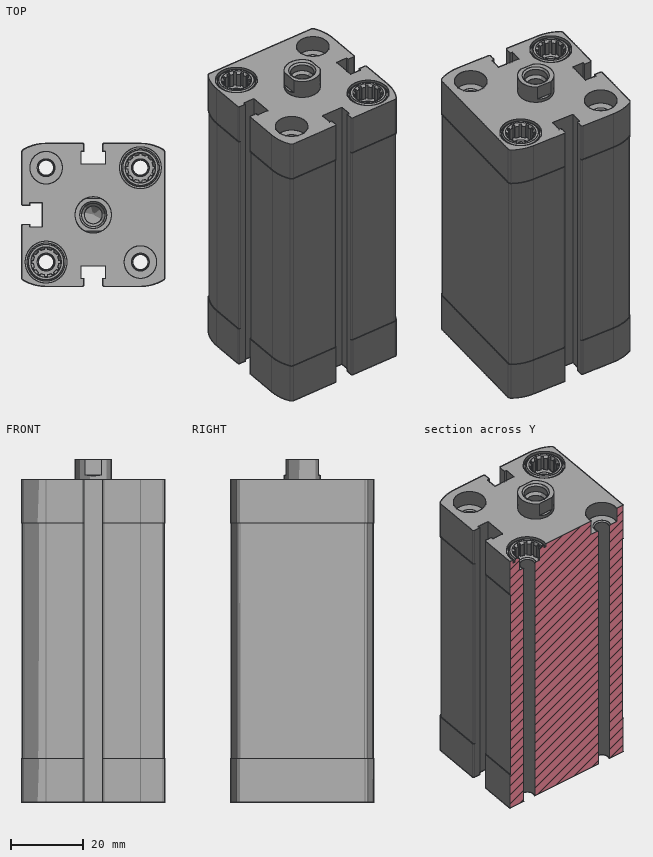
import cadquery as cq
import math

SIDE = 39.5
TOTAL_HEIGHT = 94.5
ROD_PROJECTION = 5.5
CAP_HEIGHT = 12.1
BARREL_INSET = 0.2
HOUSING_HEIGHT = TOTAL_HEIGHT - ROD_PROJECTION
BARREL_HEIGHT = HOUSING_HEIGHT - 2 * CAP_HEIGHT

CORNER_RADIUS = 25.0 / 2
CORNER_EDGE_FILLET = 0.9

SLOT_MOUTH_WIDTH = 5.2
SLOT_WIDTH = 6.6
SLOT_LIP = 2.3
SLOT_DEPTH = 5.7
SLOT_LIP_FILLET = 0.4

HOLE_SPACING = 26.0
HOLE_OFFSET = HOLE_SPACING / 2
THROUGH_DIAMETER = 4.2
COUNTERSINK_DIAMETER = 4.9
COUNTERBORE_DIAMETER = 9.0
COUNTERBORE_DEPTH = 4.7

GROOVE_DIAMETER = 11.5
GROOVE_DEPTH = 1.0
COLLAR_DIAMETER = 10.5
COLLAR_CHAMFER = 0.4
SOCKET_DIAMETER = 7.0
SOCKET_MOUTH_DIAMETER = 8.4
TOOTH_COUNT = 12
TOOTH_GAP_DIAMETER = 7.8
TOOTH_GAP_WIDTH = 0.8

ROD_DIAMETER = 10.0
ROD_INSERTION = CAP_HEIGHT
ROD_FLATS = 9.0
FLAT_LENGTH = 4.25
FLAT_RAMP_HEIGHT = 0.3
ROD_BORE_DIAMETER = 6.4
ROD_BORE_MOUTH_DIAMETER = 7.5
ROD_BORE_DEPTH = 2.5
ROD_DRILL_DIAMETER = 4.9
ROD_DRILL_DEPTH = 8.5
DRILL_TIP_ANGLE = 118.0


def turned(profile):
    """Solid of revolution about Z from a closed outline of (radius, z) points."""
    return cq.Workplane("XZ").polyline(profile).close().revolve(360, (0, 0), (0, 1))


def outline_prism(inset, bottom, height):
    """Square block with broad corner arcs that start level with the hole axes, tangent to front or back."""
    half = SIDE / 2 - inset
    radius = CORNER_RADIUS - inset
    arc_x = HOLE_OFFSET
    arc_y = half - radius

    def on_arc(x):
        return arc_y + math.sqrt(radius ** 2 - (x - arc_x) ** 2)

    middle_x = (arc_x + half) / 2
    side_y = on_arc(half)
    middle_y = on_arc(middle_x)
    prism = (
        cq.Workplane("XY", origin=(0, 0, bottom))
        .moveTo(-arc_x, half)
        .lineTo(arc_x, half)
        .threePointArc((middle_x, middle_y), (half, side_y))
        .lineTo(half, -side_y)
        .threePointArc((middle_x, -middle_y), (arc_x, -half))
        .lineTo(-arc_x, -half)
        .threePointArc((-middle_x, -middle_y), (-half, -side_y))
        .lineTo(-half, side_y)
        .threePointArc((-middle_x, middle_y), (-arc_x, half))
        .close()
        .extrude(height)
    )
    corner_edges = [
        cq.selectors.NearestToPointSelector((x, y, bottom + height / 2))
        for x in (-half, half)
        for y in (-side_y, side_y)
    ]
    for corner_edge in corner_edges:
        prism = prism.edges("|Z").edges(corner_edge).fillet(CORNER_EDGE_FILLET)
    return prism


def slot_cutter(angle, inset, bottom, height):
    """T-shaped sensor slot with rounded mouth edges, open along the face at the given angle."""
    face = SIDE / 2 - inset
    lip_floor = SIDE / 2 - SLOT_LIP
    floor = SIDE / 2 - SLOT_DEPTH
    mouth = SLOT_MOUTH_WIDTH / 2
    flare = mouth + SLOT_LIP_FILLET
    sag = SLOT_LIP_FILLET * (1 - math.sqrt(0.5))
    return (
        cq.Workplane("XY", origin=(0, 0, bottom))
        .moveTo(floor, -SLOT_WIDTH / 2)
        .lineTo(lip_floor, -SLOT_WIDTH / 2)
        .lineTo(lip_floor, -mouth)
        .lineTo(face - SLOT_LIP_FILLET, -mouth)
        .threePointArc((face - sag, -mouth - sag), (face, -flare))
        .lineTo(face, flare)
        .threePointArc((face - sag, mouth + sag), (face - SLOT_LIP_FILLET, mouth))
        .lineTo(lip_floor, mouth)
        .lineTo(lip_floor, SLOT_WIDTH / 2)
        .lineTo(floor, SLOT_WIDTH / 2)
        .close()
        .extrude(height)
        .rotate((0, 0, 0), (0, 0, 1), angle)
    )


def housing_section(inset, bottom, height):
    """One length of the housing, slotted on the front, back and left faces."""
    section = outline_prism(inset, bottom, height)
    for angle in (90, 180, 270):
        section = section.cut(slot_cutter(angle, inset, bottom, height))
    return section


def through_hole_cutter():
    """Through hole, countersunk where it leaves the counterbore or socket."""
    seat = HOUSING_HEIGHT - COUNTERBORE_DEPTH
    hole = THROUGH_DIAMETER / 2
    rim = COUNTERSINK_DIAMETER / 2
    return turned([(0, 0), (hole, 0), (hole, seat - (rim - hole)), (rim, seat), (0, seat)])


def counterbore_cutter():
    return (
        cq.Workplane("XY", origin=(0, 0, HOUSING_HEIGHT - COUNTERBORE_DEPTH))
        .circle(COUNTERBORE_DIAMETER / 2)
        .extrude(COUNTERBORE_DEPTH)
    )


def socket_cutter():
    """Toothed socket with a chamfered mouth, inside a chamfered collar set off by a groove."""
    top = HOUSING_HEIGHT
    seat = top - COUNTERBORE_DEPTH
    socket = SOCKET_DIAMETER / 2
    mouth = SOCKET_MOUTH_DIAMETER / 2
    collar = COLLAR_DIAMETER / 2
    groove = GROOVE_DIAMETER / 2

    bore = turned([(0, seat), (socket, seat), (socket, top - (mouth - socket)), (mouth, top), (0, top)])
    groove_ring = turned([
        (collar, top - GROOVE_DEPTH),
        (groove, top - GROOVE_DEPTH),
        (groove, top),
        (collar - COLLAR_CHAMFER, top),
        (collar, top - COLLAR_CHAMFER),
    ])
    cutter = bore.union(groove_ring)

    gap_length = TOOTH_GAP_DIAMETER / 2
    gap = (
        cq.Workplane("XY", origin=(0, 0, seat))
        .center(gap_length / 2, 0)
        .rect(gap_length, TOOTH_GAP_WIDTH)
        .extrude(COUNTERBORE_DEPTH)
    )
    pitch = 360 / TOOTH_COUNT
    for i in range(TOOTH_COUNT):
        cutter = cutter.union(gap.rotate((0, 0, 0), (0, 0, 1), i * pitch))
    return cutter


def make_housing():
    housing = housing_section(0, 0, CAP_HEIGHT)
    housing = housing.union(housing_section(BARREL_INSET, CAP_HEIGHT, BARREL_HEIGHT))
    housing = housing.union(housing_section(0, CAP_HEIGHT + BARREL_HEIGHT, CAP_HEIGHT))

    through_hole = through_hole_cutter()
    counterbore = counterbore_cutter()
    socket = socket_cutter()
    for x_sign in (-1, 1):
        for y_sign in (-1, 1):
            place = (x_sign * HOLE_OFFSET, y_sign * HOLE_OFFSET, 0)
            recess = socket if x_sign == y_sign else counterbore
            housing = housing.cut(through_hole.translate(place))
            housing = housing.cut(recess.translate(place))

    rod_recess = (
        cq.Workplane("XY", origin=(0, 0, HOUSING_HEIGHT - ROD_INSERTION))
        .circle(ROD_DIAMETER / 2)
        .extrude(ROD_INSERTION)
    )
    return housing.cut(rod_recess)


def rod_bore_cutter():
    """Stepped blind bore: chamfered mouth, counterbore, tapered step, drilled hole with cone tip."""
    top = TOTAL_HEIGHT
    mouth = ROD_BORE_MOUTH_DIAMETER / 2
    bore = ROD_BORE_DIAMETER / 2
    drill = ROD_DRILL_DIAMETER / 2
    step = top - ROD_BORE_DEPTH
    drill_end = top - ROD_DRILL_DEPTH
    tip = drill_end - drill / math.tan(math.radians(DRILL_TIP_ANGLE / 2))
    return turned([
        (0, top),
        (mouth, top),
        (bore, top - (mouth - bore)),
        (bore, step),
        (drill, step - (bore - drill)),
        (drill, drill_end),
        (0, tip),
    ])


def flat_cutter(angle):
    """Wrench flat that runs out to the rod surface on a short ramp."""
    flat = ROD_FLATS / 2
    surface = ROD_DIAMETER / 2
    flat_end = TOTAL_HEIGHT - FLAT_LENGTH
    return (
        cq.Workplane("YZ")
        .polyline([
            (flat, TOTAL_HEIGHT),
            (flat, flat_end),
            (surface, flat_end - FLAT_RAMP_HEIGHT),
            (surface, TOTAL_HEIGHT),
        ])
        .close()
        .extrude(surface, both=True)
        .rotate((0, 0, 0), (0, 0, 1), angle)
    )


def make_rod():
    rod = (
        cq.Workplane("XY", origin=(0, 0, HOUSING_HEIGHT - ROD_INSERTION))
        .circle(ROD_DIAMETER / 2)
        .extrude(ROD_INSERTION + ROD_PROJECTION)
    )
    for angle in (0, 180):
        rod = rod.cut(flat_cutter(angle))
    return rod.cut(rod_bore_cutter())


housing = make_housing()
rod = make_rod()
result = cq.Compound.makeCompound([housing.val(), rod.val()])